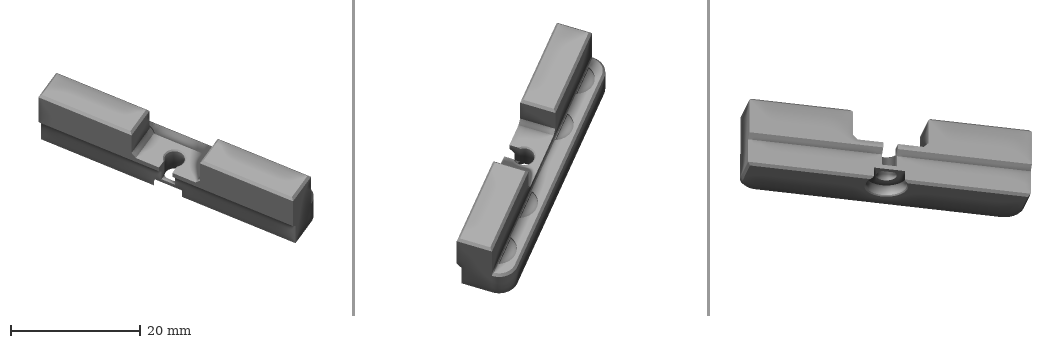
import cadquery as cq

length = 45
height = 11.35
edge_chamfer = 0.4

block_back = 5.8
front_setback = 0.8
setback_top = 4.35
overhang_bottom = setback_top + front_setback

total_depth = 8.9
ledge_height = 5.05
ledge_corner_radius = 3.0
joint_chamfer = 0.2

notch_width = 12.05
notch_floor = 6.08
notch_corner = 0.75

hole_y = 2.9
hole_diameter = 3.2
hole_chamfer = 0.22
counterbore_diameter = 6.45
counterbore_depth = 1.9
counterbore_chamfer = 0.2
groove_width = 2.35
groove_floor = 2.55
bridge_back = 1.6
bridge_top = 2.3

recess_diameter = 6.0
recess_depth = 0.35
recess_y = 4.9
recess_gap = 0.1
recess_front = block_back + joint_chamfer + recess_gap
recess_offsets = (8.0, 17.5)


def cylinder(diameter, x, y, bottom, top):
    """Upright cylinder between two heights."""
    return cq.Workplane("XY", origin=(x, y, bottom)).circle(diameter / 2).extrude(top - bottom)


def cone(bottom_diameter, top_diameter, y, bottom, top):
    """Upright cone on X = 0 between two heights."""
    return (
        cq.Workplane("XY", origin=(0, y, bottom))
        .circle(bottom_diameter / 2)
        .workplane(offset=top - bottom)
        .circle(top_diameter / 2)
        .loft()
    )


def box(x_size, y_min, y_max, z_min, z_max):
    """Box centred on X = 0."""
    return (
        cq.Workplane("XY", origin=(0, (y_min + y_max) / 2, z_min))
        .rect(x_size, y_max - y_min)
        .extrude(z_max - z_min)
    )


def extrude_profile(points, x_size):
    """Closed (Y, Z) outline extruded along X, centred on X = 0."""
    return cq.Workplane("YZ").polyline(points).close().extrude(x_size / 2, both=True)


def make_ledge():
    """Full-length foot with rounded back corners and the round recesses in its top."""
    ledge = (
        box(length, front_setback, total_depth, 0, ledge_height)
        .edges("|Z and >Y").fillet(ledge_corner_radius)
        .faces("<Z or >Z").edges().chamfer(edge_chamfer)
    )
    recess_bottom = ledge_height - recess_depth
    under_block = box(length, 0, recess_front, recess_bottom, ledge_height)
    for offset in recess_offsets:
        for x in (-offset, offset):
            recess = cylinder(recess_diameter, x, recess_y, recess_bottom, ledge_height)
            ledge = ledge.cut(recess.cut(under_block))
    return ledge


def make_block():
    """Upright block with the set-back lower front and the notch in its top."""
    block = extrude_profile(
        [
            (front_setback, edge_chamfer),
            (front_setback, setback_top),
            (0, overhang_bottom),
            (0, height),
            (block_back, height),
            (block_back, edge_chamfer),
        ],
        length,
    )
    notch = (
        box(notch_width, 0, block_back, notch_floor, height)
        .faces("<Z").edges("|Y").chamfer(notch_corner)
    )
    return block.cut(notch).faces(">Z").edges().chamfer(edge_chamfer)


def make_joint_strip():
    """Sloped strip along the flat top of the ledge, against the back of the block."""
    return extrude_profile(
        [
            (block_back, ledge_height),
            (block_back + joint_chamfer, ledge_height),
            (block_back, ledge_height + joint_chamfer),
        ],
        length - 2 * edge_chamfer,
    )


def cut_screw_hole(body):
    """Screw hole open to the front, above a thin bridge over the counterbore."""
    hole = cylinder(hole_diameter, 0, hole_y, 0, notch_floor)
    bridge = box(groove_width, 0, bridge_back, counterbore_depth, bridge_top)
    groove = box(groove_width, 0, hole_y, groove_floor, notch_floor)
    rim = cone(
        hole_diameter, hole_diameter + 2 * hole_chamfer, hole_y, notch_floor - hole_chamfer, notch_floor
    )
    counterbore = cylinder(counterbore_diameter, 0, hole_y, 0, counterbore_depth)
    counterbore_rim = cone(
        counterbore_diameter + 2 * counterbore_chamfer, counterbore_diameter, hole_y, 0, counterbore_chamfer
    )
    return body.cut(hole.cut(bridge)).cut(groove).cut(rim).cut(counterbore).cut(counterbore_rim)


result = cut_screw_hole(make_block().union(make_ledge()).union(make_joint_strip()))